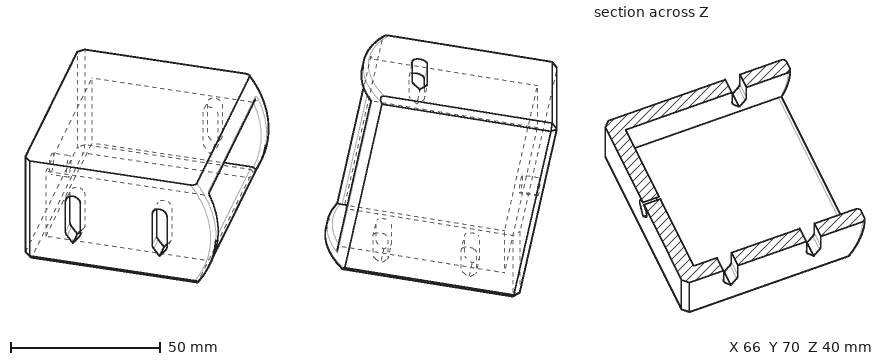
import cadquery as cq
import math

length = 66.0
width = 70.0
height = 40.0
side_wall = 5.75
floor_wall = 7.0
back_wall = 6.0
chamfer = 2.0
mouth_fillet = 1.5

straight_length = 59.4

point_half_angle = math.radians(37)
key_radius = 3.0
key_height = 17.0
slot_radius = 2.6
slot_low_center = 14.0
slot_high_center = 25.8
single_slot_x = 17.0
through_slot_x = 47.0

back_x = 0.0
half_width = width / 2
mid_height = height / 2


def drop_outline(plane, center, low_center, high_center, radius):
    """Outline with a round top and two flanks tangent to the lower circle, meeting in a point."""
    tangent_x = radius * math.cos(point_half_angle)
    tangent_z = low_center - radius * math.sin(point_half_angle)
    flank_x = radius * math.cos(point_half_angle / 2)
    flank_z = low_center - radius * math.sin(point_half_angle / 2)
    tip_z = low_center - radius / math.sin(point_half_angle)
    outline = cq.Workplane(plane).moveTo(center, tip_z)
    outline = outline.lineTo(center + tangent_x, tangent_z)
    outline = outline.threePointArc((center + flank_x, flank_z), (center + radius, low_center))
    if high_center > low_center:
        outline = outline.lineTo(center + radius, high_center)
    outline = outline.threePointArc((center, high_center + radius), (center - radius, high_center))
    if high_center > low_center:
        outline = outline.lineTo(center - radius, low_center)
    outline = outline.threePointArc((center - flank_x, flank_z), (center - tangent_x, tangent_z))
    return outline.close()


def make_block():
    """Solid block with a bulged +X end and chamfered back and bottom edges."""
    block = (
        cq.Workplane("XZ", origin=(0, half_width, 0))
        .moveTo(back_x, 0)
        .lineTo(straight_length, 0)
        .threePointArc((length, mid_height), (straight_length, height))
        .lineTo(back_x, height)
        .close()
        .extrude(width)
    )
    back_and_bottom_edges = (
        block.edges("|Z and <X")
        .add(block.faces("<Z").edges("|X"))
        .add(block.faces("<Z").edges("<X"))
    )
    return back_and_bottom_edges.chamfer(chamfer)


def make_cavity():
    """Rectangular pocket reaching out past the bulged end."""
    return cq.Workplane("XY").box(
        length, width - 2 * side_wall, height - 2 * floor_wall, centered=(False, True, False)
    ).translate((back_wall, 0, floor_wall))


def slot_cutter(center, depth):
    """Upright slot cut from the -Y side to the given depth."""
    outline = drop_outline("XZ", center, slot_low_center, slot_high_center, slot_radius)
    return outline.extrude(-depth).translate((0, -half_width, 0))


block = make_block().edges("%CIRCLE").fillet(mouth_fillet)
shell = block.cut(make_cavity())

margin = 0.7
rim_selector = cq.selectors.BoxSelector(
    (straight_length, side_wall - half_width - margin, floor_wall - margin),
    (length + margin, half_width - side_wall + margin, height - floor_wall + margin),
)
shell = shell.edges(rim_selector).edges("not |X").fillet(mouth_fillet)

shell = shell.cut(slot_cutter(single_slot_x, 2 * side_wall))
shell = shell.cut(slot_cutter(through_slot_x, width))

back_hole = drop_outline("YZ", 0, key_height, key_height, key_radius).extrude(2 * back_wall)
result = shell.cut(back_hole)